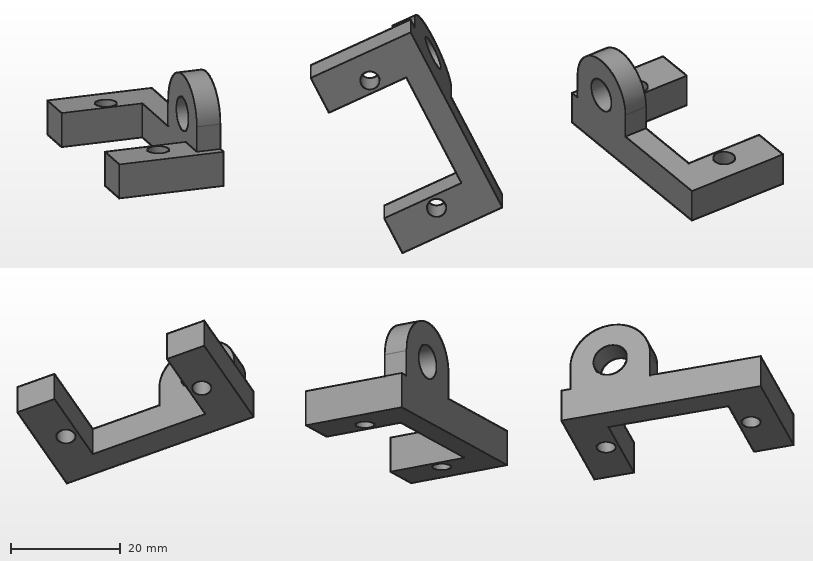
import cadquery as cq

length = 38.1
depth = 20.3
base_height = 6.6
leg_width = 7.6
back_thickness = 4.6

lug_radius = 7.62
lug_center_x = 28.75
lug_center_z = 11.45
lug_bore_diameter = 6.4

hole_spacing = 27.7
hole_y = 9.5
hole_bottom_diameter = 3.5
hole_top_diameter = 4.0


def make_base():
    block = cq.Workplane("XY").box(length, depth, base_height, centered=False)
    gap = cq.Workplane("XY").box(
        length - 2 * leg_width, depth - back_thickness, base_height, centered=False
    )
    return block.cut(gap.translate((leg_width, 0, 0)))


def back_plane():
    """Plane on the rear face: local x is X, local y is Z, extrusion runs toward -Y."""
    return cq.Workplane("XZ", origin=(0, depth, 0))


def make_lug():
    left = lug_center_x - lug_radius
    right = lug_center_x + lug_radius
    return (
        back_plane()
        .moveTo(left, 0)
        .lineTo(right, 0)
        .lineTo(right, lug_center_z)
        .threePointArc((lug_center_x, lug_center_z + lug_radius), (left, lug_center_z))
        .close()
        .extrude(back_thickness)
    )


def make_lug_bore():
    return (
        back_plane()
        .center(lug_center_x, lug_center_z)
        .circle(lug_bore_diameter / 2)
        .extrude(back_thickness)
    )


def make_leg_hole(center_x):
    """Tapered plug to cut from a leg; its axis is vertical at center_x."""
    return (
        cq.Workplane("XY", origin=(center_x, hole_y, 0))
        .circle(hole_bottom_diameter / 2)
        .workplane(offset=base_height)
        .circle(hole_top_diameter / 2)
        .loft()
    )


result = make_base().union(make_lug()).cut(make_lug_bore())
for side in (-1, 1):
    result = result.cut(make_leg_hole(length / 2 + side * hole_spacing / 2))